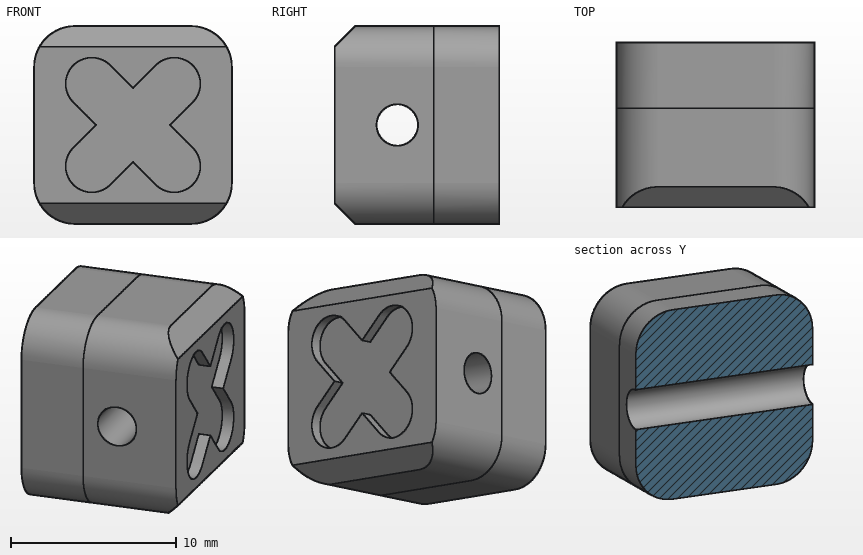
import cadquery as cq

width = 12.0
depth = 10.0
corner_radius = 2.5
cap_depth = 4.0
front_y = -depth / 2
housing_depth = depth - cap_depth

chamfer = 1.25
bore_diameter = 2.5
bore_setback = 3.8
arm_reach = 2.5
arm_width = 3.17
recess_depth = 0.75


def rounded_block(start_y, length):
    """Square block with rounded edges, running from start_y toward +Y."""
    return (
        cq.Workplane("XZ", origin=(0, start_y, 0))
        .rect(width, width)
        .extrude(-length)
        .edges("|Y")
        .fillet(corner_radius)
    )


def chamfer_wedge(side):
    """Wedge that bevels the upper (side=1) or lower (side=-1) front edge."""
    edge_z = side * width / 2
    return (
        cq.Workplane("YZ", origin=(-width / 2, 0, 0))
        .moveTo(front_y, edge_z)
        .lineTo(front_y + chamfer, edge_z)
        .lineTo(front_y, edge_z - side * chamfer)
        .close()
        .extrude(width)
    )


def cross_recess():
    """X-shaped pocket made of two crossing round-ended slots."""
    slot_length = 2 * arm_reach * 2**0.5 + arm_width
    face = cq.Workplane("XZ", origin=(0, front_y, 0))
    rising_slot = face.slot2D(slot_length, arm_width, 45).extrude(-recess_depth)
    falling_slot = face.slot2D(slot_length, arm_width, -45).extrude(-recess_depth)
    return rising_slot.union(falling_slot)


def cross_bore():
    """Round hole passing through the housing along X."""
    return (
        cq.Workplane("YZ", origin=(-width / 2, front_y + bore_setback, 0))
        .circle(bore_diameter / 2)
        .extrude(width)
    )


def make_housing():
    """Front body with bevelled edges, X-shaped recess and cross bore."""
    body = rounded_block(front_y, housing_depth)
    for side in (1, -1):
        body = body.cut(chamfer_wedge(side))
    return body.cut(cross_recess()).cut(cross_bore())


def make_cap():
    """Plain rear body, flush with the housing."""
    return rounded_block(front_y + housing_depth, cap_depth)


housing = make_housing()
cap = make_cap()

result = cq.Compound.makeCompound([housing.val(), cap.val()])